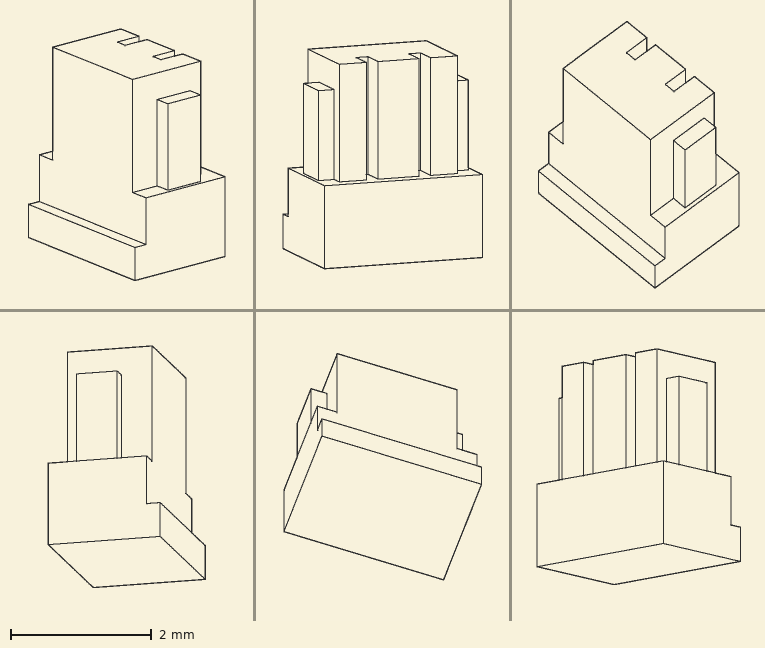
import cadquery as cq

width = 2.4
depth = 1.65
height = 2.9
shoulder_height = 1.2
lip_height = 0.5
lip_depth = 0.2

tower_width = 1.8
tower_rear_inset = 0.2
tower_front = -depth / 2 + lip_depth
tower_rear = depth / 2 - tower_rear_inset

ear_span = 2.28
ear_top = 2.5
ear_depth = 0.6
ear_rear_inset = 0.2
ear_rear = tower_rear - ear_rear_inset

slot_pitch = 0.8
slot_width = 0.18
slot_depth = 0.4


def block(x_size, y_min, y_max, z_min, z_max, x_center=0):
    """Box centred on x_center, spanning the given Y and Z limits."""
    return (
        cq.Workplane("XY")
        .box(x_size, y_max - y_min, z_max - z_min, centered=(True, False, False))
        .translate((x_center, y_min, z_min))
    )


lip = block(width, -depth / 2, depth / 2, 0, lip_height)
base = block(width, tower_front, depth / 2, 0, shoulder_height)
tower = block(tower_width, tower_front, tower_rear, 0, height)

for side in (-1, 1):
    slot = block(
        slot_width, tower_rear - slot_depth, tower_rear, shoulder_height, height,
        x_center=side * slot_pitch / 2,
    )
    tower = tower.cut(slot)

ear_width = (ear_span - tower_width) / 2
ears = cq.Workplane("XY")
for side in (-1, 1):
    ear = block(
        ear_width, ear_rear - ear_depth, ear_rear, shoulder_height, ear_top,
        x_center=side * (tower_width + ear_width) / 2,
    )
    ears = ears.add(ear)

result = base.union(lip).union(tower).union(ears)